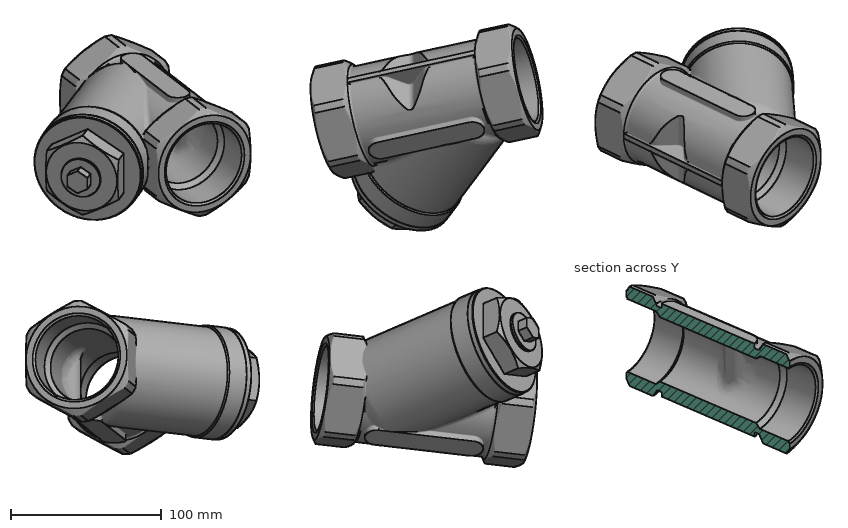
import cadquery as cq
import math

run_length = 140.0
run_radius = 33.0
bore_diameter = 50.0
thread_diameter = 56.65
thread_depth = 25.5
thread_mouth_diameter = 60.0
thread_mouth_length = 1.0

nut_flats = 70.0
nut_corner_diameter = 78.0
nut_length = 25.7
nut_face_diameter = 69.0
nut_chamfer_length = 2.8
nut_root_fillet = 1.5
nut_edge_fillet = 1.0
nut_branch_fillet = 0.5

branch_angle = -45.0
branch_axis_x = -31.5
branch_diameter = 73.0
branch_start = 1.3
branch_start_rounding = 10.0
branch_fillet = 3.0
collar_start = 84.0
collar_diameter = 75.0
collar_chamfer = 1.0
cap_start = 98.3
cap_diameter = 74.5
cap_end = 102.3
cap_chamfer = 0.5

plug_flats = 50.0
plug_end = 115.88
plug_chamfer_angle = 30.0
plug_face_diameter = 49.0
gasket_diameter = 26.0
gasket_end = 116.5
washer_diameter = 27.0
washer_end = 118.3
tip_flats = 14.0
tip_end = 125.3

pad_length = 79.6
pad_width = 15.8
pad_height = 36.5
pad_fillet = 0.8

dent_x = 4.8
dent_tip_y = 18.8
dent_tip_radius = 4.0
dent_shoulder_radius = 8.0
dent_wall = 4.3
rib_y = 34.4
rib_thickness = 4.0
rib_fillet = 0.8
dent_wall_fillet = 10.0

rib_root_half_width = rib_thickness / 2 + rib_fillet
dent_shoulder_y = math.sqrt(run_radius**2 - rib_root_half_width**2)

tolerance = 0.01

branch_plane = cq.Plane(
    origin=(branch_axis_x, 0, 0),
    xDir=(0, 0, 1),
    normal=(math.cos(math.radians(branch_angle)), math.sin(math.radians(branch_angle)), 0),
)


def run_cylinder(diameter, x_start, length):
    return cq.Workplane("YZ", origin=(x_start, 0, 0)).circle(diameter / 2).extrude(length)


def branch_cylinder(diameter, start, end):
    return cq.Workplane(branch_plane).workplane(offset=start).circle(diameter / 2).extrude(end - start)


def branch_hexagon(flats, start, end):
    """Hexagon along the branch with two corners on its Z side."""
    corners = flats / math.cos(math.pi / 6)
    return cq.Workplane(branch_plane).workplane(offset=start).polygon(6, corners).extrude(end - start)


def end_nut():
    """Hexagon at the -X end, its corners turned round and both faces chamfered."""
    x_start = -run_length / 2
    corners = nut_flats / math.cos(math.pi / 6)
    hexagon = (
        cq.Workplane("YZ", origin=(x_start, 0, 0))
        .transformed(rotate=(0, 0, 90))
        .polygon(6, corners)
        .extrude(nut_length)
    )
    face_radius = nut_face_diameter / 2
    outer_radius = nut_corner_diameter / 2
    turned = (
        cq.Workplane("XY", origin=(x_start, 0, 0))
        .polyline([
            (0, 0),
            (0, face_radius),
            (nut_chamfer_length, outer_radius),
            (nut_length - nut_chamfer_length, outer_radius),
            (nut_length, face_radius),
            (nut_length, 0),
        ])
        .close()
        .revolve(360, (0, 0, 0), (1, 0, 0))
    )
    nut = hexagon.intersect(turned)
    between_faces = cq.selectors.BoxSelector(
        (x_start + tolerance, -nut_flats, -nut_flats), (x_start + nut_length - tolerance, nut_flats, nut_flats)
    )
    return nut.edges(between_faces).edges("not |X").fillet(nut_edge_fillet)


def dent_outline(wall, z_base):
    """Dent profile at a height, its 45 degree walls grown by a wall thickness towards the run axis."""
    shoulder_y = dent_shoulder_y - wall
    tip_y = dent_tip_y - wall * math.sqrt(2)
    half_width = shoulder_y - tip_y
    tip_round = dent_tip_radius + wall
    tip_tangent = tip_round * math.sin(math.pi / 4)
    tip_bottom = tip_y + tip_round * (math.sqrt(2) - 1)
    tip_end_y = tip_y + tip_tangent
    shoulder_round = dent_shoulder_radius - wall
    shoulder_tangent = shoulder_round * math.tan(math.pi / 8)
    outer_x = half_width + shoulder_tangent
    inner_x = half_width - shoulder_tangent * math.sin(math.pi / 4)
    inner_y = tip_y + inner_x
    top_y = rib_y + dent_wall
    reach = run_length / 2
    return (
        cq.Workplane("XY", origin=(dent_x, 0, z_base))
        .moveTo(-reach, top_y)
        .lineTo(-reach, shoulder_y)
        .lineTo(-outer_x, shoulder_y)
        .radiusArc((-inner_x, inner_y), shoulder_round)
        .lineTo(-tip_tangent, tip_end_y)
        .threePointArc((0, tip_bottom), (tip_tangent, tip_end_y))
        .lineTo(inner_x, inner_y)
        .radiusArc((outer_x, shoulder_y), shoulder_round)
        .lineTo(reach, shoulder_y)
        .lineTo(reach, top_y)
        .close()
    )


def dent_pocket():
    """Dent above the rib, rounded where its wall meets the rib."""
    pocket = dent_outline(0, rib_thickness / 2).extrude(run_radius)
    return pocket.faces("<Z").edges("not >Y").fillet(rib_fillet)


def branch_body():
    body = branch_cylinder(branch_diameter, branch_start, cap_start)
    start = cq.selectors.NearestToPointSelector(branch_plane.toWorldCoords((0, 0, branch_start)))
    return body.faces(start).edges().fillet(branch_start_rounding)


def label_pads():
    return (
        cq.Workplane("XY")
        .slot2D(pad_length, pad_width)
        .extrude(pad_height, both=True)
    )


def nut_root():
    """Fillet ring that joins the back of the -X nut to the run."""
    x_root = nut_length - run_length / 2
    ring_radius = run_radius + nut_root_fillet
    return (
        cq.Workplane("XY")
        .moveTo(x_root, 0)
        .lineTo(x_root, ring_radius)
        .radiusArc((x_root + nut_root_fillet, run_radius), -nut_root_fillet)
        .lineTo(x_root + nut_root_fillet, 0)
        .close()
        .revolve(360, (0, 0, 0), (1, 0, 0))
    )


def dent_rib():
    """Plate on the mid-plane from nut to nut, wide enough to leave its root fillets."""
    width = rib_thickness + 2 * rib_fillet
    return cq.Workplane("XY").box(run_length, rib_y, width, centered=(True, False, True))


def plug():
    """Hexagonal plug with its outer corners turned to a shallow cone."""
    corner_radius = plug_flats / 2 / math.cos(math.pi / 6)
    face_radius = plug_face_diameter / 2
    cone_length = (corner_radius - face_radius) * math.tan(math.radians(plug_chamfer_angle))
    turned = branch_cylinder(2 * corner_radius, cap_end, plug_end).faces(">(1, -1, 0)").chamfer(
        cone_length, corner_radius - face_radius
    )
    return branch_hexagon(plug_flats, cap_end, plug_end).intersect(turned)


def closure():
    """Collar, cap, hexagonal plug and drain tip at the end of the branch."""
    collar = branch_cylinder(collar_diameter, collar_start, cap_start)
    collar = collar.faces("<(1, -1, 0)").chamfer(collar_chamfer)
    cap = branch_cylinder(cap_diameter, cap_start, cap_end).faces(">(1, -1, 0)").chamfer(cap_chamfer)
    gasket = branch_cylinder(gasket_diameter, plug_end, gasket_end)
    washer = branch_cylinder(washer_diameter, gasket_end, washer_end)
    tip = branch_hexagon(tip_flats, washer_end, tip_end)
    return collar.union(cap).union(plug()).union(gasket).union(washer).union(tip)


def flow_bore():
    """Bore from end to end, narrowed by the inner wall of the dent."""
    bore = run_cylinder(bore_diameter, -run_length / 2, run_length)
    inner_wall = dent_outline(dent_wall, -run_radius).extrude(2 * run_radius)
    return bore.cut(inner_wall).edges("%ELLIPSE").fillet(dent_wall_fillet)


def with_nut_branch_fillets(shape):
    """Round the corners between the nuts and the side of the branch."""

    def on_branch(edge):
        for position in (0, 0.5, 1):
            point = branch_plane.toLocalCoords(edge.positionAt(position))
            if abs(math.hypot(point.x, point.y) - branch_diameter / 2) > tolerance:
                return False
        return True

    def at_nut(edge):
        return edge.geomType() != "LINE" and abs(edge.Center().x) > run_length / 2 - nut_length

    edges = [edge for edge in shape.edges().vals() if at_nut(edge) and on_branch(edge)]
    return shape.newObject(edges).fillet(nut_branch_fillet)


def with_pad_fillets(shape):
    """Round the foot of the pads where they rise from the run and the branch."""
    reach = pad_length / 2 + tolerance
    foot = cq.selectors.BoxSelector(
        (-reach, -pad_width / 2 - tolerance, -pad_height + tolerance),
        (reach, pad_width / 2 + tolerance, pad_height - tolerance),
        boundingbox=True,
    )
    return shape.edges(foot).edges("not |Z").fillet(pad_fillet)


def end_thread():
    """Counterbore of the -X end, with a chamfered mouth."""
    x_face = -run_length / 2
    bore = run_cylinder(thread_diameter, x_face, thread_depth)
    mouth = (
        cq.Workplane("YZ", origin=(x_face, 0, 0))
        .circle(thread_mouth_diameter / 2)
        .workplane(offset=thread_mouth_length)
        .circle(thread_diameter / 2)
        .loft()
    )
    runout_length = (thread_diameter - bore_diameter) / 2
    runout = (
        cq.Workplane("YZ", origin=(x_face + thread_depth, 0, 0))
        .circle(thread_diameter / 2)
        .workplane(offset=runout_length)
        .circle(bore_diameter / 2)
        .loft()
    )
    return bore.union(mouth).union(runout)


run = run_cylinder(2 * run_radius, -run_length / 2, run_length)
body = run.union(branch_body())
body = body.edges("%BSPLINE").fillet(branch_fillet)
body = with_pad_fillets(body.union(label_pads()))
pocket = dent_pocket()
body = body.union(dent_rib()).cut(pocket).cut(pocket.mirror("XY"))
end = end_nut().union(nut_root())
body = body.union(end).union(end.mirror("YZ"))
body = with_nut_branch_fillets(body)
body = body.union(closure())
thread = end_thread()
result = body.cut(flow_bore()).cut(thread).cut(thread.mirror("YZ"))